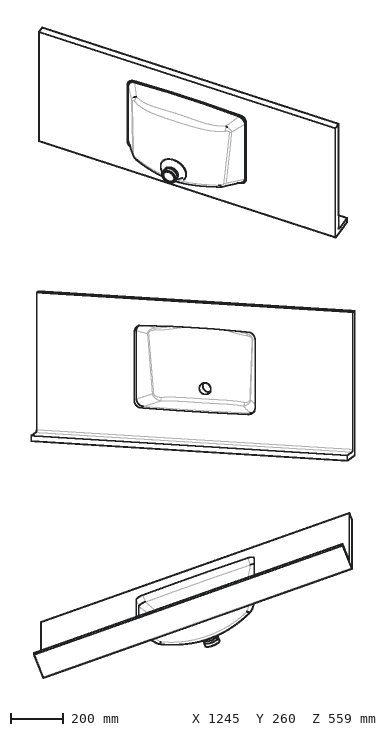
import cadquery as cq
import math

LENGTH = 1245.0
HEIGHT = 559.0
SLAB_THICKNESS = 29.0
LIP_DEPTH = 102.0
LIP_THICKNESS = 21.0
INNER_BEND_RADIUS = 9.0
OUTER_BEND_RADIUS = 7.0

WALL = 10.0
RIM_HALF_WIDTH = 248.0
RIM_TOP = 465.0
RIM_BOTTOM = 130.0
RIM_TOP_BULGE = 6.0
RIM_BOTTOM_BULGE = 2.0
RIM_CORNER_RADIUS = 27.0
RIM_BAND = 5.0
RIM_STEP = 1.0

TAPER_DEPTH = 131.0
END_HALF_WIDTH = 149.0
END_CORNER_RADIUS = 31.0
END_TOP = 398.0
END_BOTTOM = 155.0
END_TOP_BULGE = 60.0
END_BOTTOM_BULGE = 19.0

FLOOR_DEPTH = 121.0
FLOOR_EDGE_DEPTH = 80.0
FLOOR_EDGE_HALF_WIDTH = 177.0
FLOOR_TILT = 2.5
FLOOR_EDGE_RADIUS = 22.0

DRAIN_Z = 197.0
SPOUT_DEPTH = 158.0
SPOUT_RADIUS = 29.0
BORE_RADIUS = 22.0
FLARE_RADIUS = 54.0
FLARE_ROOT = 112.0
FLARE_START = 120.0
FLARE_END = 136.0
COLLAR_DEPTH = 144.0
COLLAR_STEP = 0.6


def plane_at(depth):
    """XZ plane at the given depth on the -Y side of the slab."""
    return cq.Workplane("XZ", origin=(0, -depth, 0))


def outline(depth, half_width, bottom, top, bottom_bulge, top_bulge, corner_radius):
    """Four-sided outline with bowed top and bottom edges and rounded corners."""
    wire = (
        plane_at(depth)
        .moveTo(-half_width, bottom)
        .threePointArc((0, bottom - bottom_bulge), (half_width, bottom))
        .lineTo(half_width, top)
        .threePointArc((0, top + top_bulge), (-half_width, top))
        .close()
        .wire()
        .val()
    )
    return wire.fillet2D(corner_radius, wire.Vertices())


def rim_outline(depth, inset):
    return outline(
        depth,
        RIM_HALF_WIDTH - inset,
        RIM_BOTTOM + inset,
        RIM_TOP - inset,
        RIM_BOTTOM_BULGE,
        RIM_TOP_BULGE,
        RIM_CORNER_RADIUS,
    )


def end_outline(inset):
    return outline(
        TAPER_DEPTH,
        END_HALF_WIDTH - inset,
        END_BOTTOM + inset,
        END_TOP - inset,
        END_BOTTOM_BULGE,
        END_TOP_BULGE,
        END_CORNER_RADIUS,
    )


def bowl_body(inset):
    """Solid bowl shape, shrunk inward by the inset on its walls and floor."""
    tapered = cq.Workplane(cq.Solid.makeLoft([rim_outline(0, inset), end_outline(inset)], True))
    sagitta = FLOOR_DEPTH - FLOOR_EDGE_DEPTH
    floor_radius = (FLOOR_EDGE_HALF_WIDTH**2 + sagitta**2) / (2 * sagitta)
    floor = (
        cq.Workplane("XY")
        .center(0, floor_radius - FLOOR_DEPTH)
        .circle(floor_radius - inset)
        .extrude(2 * HEIGHT, both=True)
        .rotate((0, -FLOOR_DEPTH, DRAIN_Z), (1, -FLOOR_DEPTH, DRAIN_Z), -FLOOR_TILT)
    )
    body = tapered.intersect(floor)
    floor_face = min(body.faces().vals(), key=lambda face: face.Center().y)
    return body.newObject(floor_face.Edges()).fillet(FLOOR_EDGE_RADIUS - inset)


def slab():
    profile = (
        cq.Workplane("YZ")
        .polyline([
            (0, 0),
            (LIP_DEPTH, 0),
            (LIP_DEPTH, LIP_THICKNESS),
            (SLAB_THICKNESS, LIP_THICKNESS),
            (SLAB_THICKNESS, HEIGHT),
            (0, HEIGHT),
        ])
        .close()
        .extrude(LENGTH / 2, both=True)
    )
    inner_bend = cq.selectors.NearestToPointSelector((0, SLAB_THICKNESS, LIP_THICKNESS))
    outer_bend = cq.selectors.NearestToPointSelector((0, 0, 0))
    return profile.edges(inner_bend).fillet(INNER_BEND_RADIUS).edges(outer_bend).fillet(OUTER_BEND_RADIUS)


def rim_prism(start_depth, thickness, inset):
    """Straight-sided prism on the rim outline; it grows toward -Y."""
    wire = rim_outline(start_depth, inset)
    return cq.Workplane(cq.Solid.extrudeLinear(wire, [], cq.Vector(0, -thickness, 0)))


def spout():
    """Tube about the drain axis, reaching back into the bowl floor."""
    bend = math.sqrt(0.5)
    flare_width = FLARE_RADIUS - SPOUT_RADIUS
    flare_length = FLARE_END - FLARE_START
    flare_middle = (FLARE_RADIUS - flare_width * bend, -FLARE_END + flare_length * bend)
    collar_radius = SPOUT_RADIUS + COLLAR_STEP
    return (
        cq.Workplane("XY")
        .moveTo(0, -FLARE_ROOT)
        .lineTo(FLARE_RADIUS, -FLARE_ROOT)
        .lineTo(FLARE_RADIUS, -FLARE_START)
        .threePointArc(flare_middle, (SPOUT_RADIUS, -FLARE_END))
        .lineTo(SPOUT_RADIUS, -COLLAR_DEPTH)
        .lineTo(collar_radius, -COLLAR_DEPTH)
        .lineTo(collar_radius, -SPOUT_DEPTH)
        .lineTo(0, -SPOUT_DEPTH)
        .close()
        .revolve(360, (0, 0, 0), (0, 1, 0))
        .translate((0, 0, DRAIN_Z))
    )


bore = plane_at(0).center(0, DRAIN_Z).circle(BORE_RADIUS).extrude(SPOUT_DEPTH)
opening = rim_prism(-SLAB_THICKNESS, SLAB_THICKNESS, WALL)

result = (
    slab()
    .union(rim_prism(0, RIM_BAND, -RIM_STEP))
    .union(bowl_body(0))
    .union(spout())
    .cut(opening)
    .cut(bowl_body(WALL))
    .cut(bore)
)